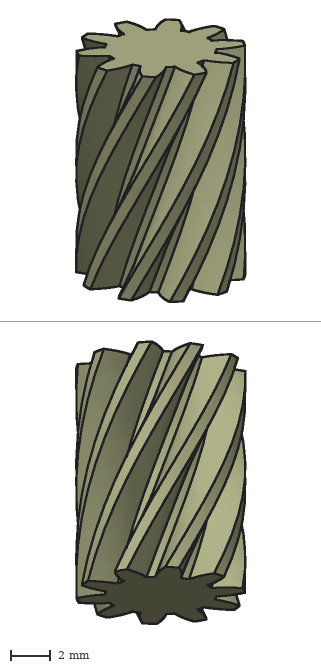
import cadquery as cq
import math

tooth_count = 10
length = 12.0
tip_radius = 4.24
root_radius = 2.8
lead = 48.36
top_tooth_angle = -0.7

tip_half_width = 0.35
flank_half_width = 0.59
flank_distance = 3.43
root_half_width = 0.65

tooth_pitch = 360 / tooth_count
twist = 360 * length / lead
bottom_tooth_angle = top_tooth_angle - twist


def on_circle(radius, half_width):
    """Point on a circle at a given offset from the tooth centreline."""
    return math.sqrt(radius**2 - half_width**2), half_width


def turned(point, angle):
    """Rotate a point about the axis by an angle in degrees."""
    x, y = point
    c = math.cos(math.radians(angle))
    s = math.sin(math.radians(angle))
    return x * c - y * s, x * s + y * c


def mirrored(point):
    """Reflect a point across the tooth centreline."""
    return point[0], -point[1]


def gear_outline():
    """Closed tooth outline at the bottom face."""
    root = on_circle(root_radius, root_half_width)
    flank = (flank_distance, flank_half_width)
    tip = on_circle(tip_radius, tip_half_width)
    crest = (tip_radius, 0)

    outline = cq.Workplane("XY").moveTo(*turned(mirrored(root), bottom_tooth_angle))
    for i in range(tooth_count):
        angle = bottom_tooth_angle + i * tooth_pitch
        outline = (
            outline
            .threePointArc(turned(mirrored(flank), angle), turned(mirrored(tip), angle))
            .threePointArc(turned(crest, angle), turned(tip, angle))
            .threePointArc(turned(flank, angle), turned(root, angle))
        )
        outline = outline.threePointArc(
            turned((root_radius, 0), angle + tooth_pitch / 2),
            turned(mirrored(root), angle + tooth_pitch),
        )
    return outline.close()


result = gear_outline().twistExtrude(length, twist)